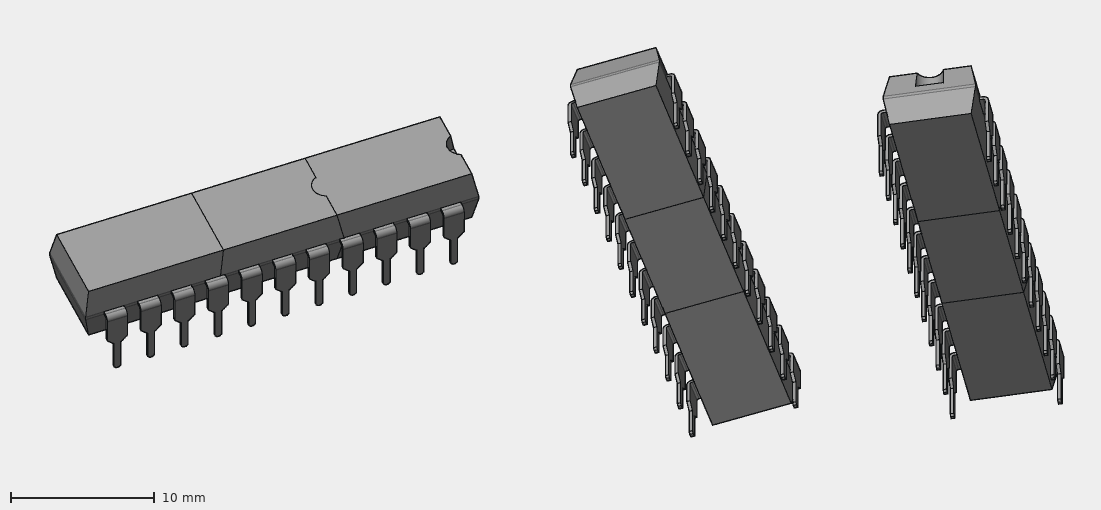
import cadquery as cq
import math

row_length = 29.65
package_width = 6.55
middle_length = 9.3
draft_angle = 10.0
half_height = 2.15
band_height = 0.25

notch_radius = 1.0
notch_depth = 1.48

lead_row_spacing = 7.62
lead_row_length = 25.4
lead_count = 11
middle_lead_count = 3
lead_thickness = band_height
lead_wide = 1.5
lead_narrow = 0.5
bend_inner_radius = 0.15
overall_height = 7.55
tip_chamfer = 0.15

taper_inset = half_height * math.tan(math.radians(draft_angle))
top_z = half_height
bottom_z = -band_height - half_height
tip_z = top_z - overall_height
shoulder_z = bottom_z
neck_z = shoulder_z - (lead_wide - lead_narrow) / 2
lead_pitch = lead_row_length / (lead_count - 1)
lead_outer_x = (lead_row_spacing + lead_thickness) / 2
lead_inner_x = lead_outer_x - lead_thickness
package_side_x = package_width / 2
bend_outer_radius = bend_inner_radius + lead_thickness
end_lead_count = (lead_count - middle_lead_count) // 2


def tapered_half(length, start_z, end_z):
    """Half of a package, shrinking from the parting band to its flat outer face."""
    return (
        cq.Workplane("XY", origin=(0, 0, start_z))
        .rect(package_width, length)
        .workplane(offset=end_z - start_z)
        .rect(package_width - 2 * taper_inset, length - 2 * taper_inset)
        .loft(ruled=True)
    )


def package_block(length):
    """Moulded block centred on Y = 0."""
    band = cq.Workplane("XY").box(package_width, length, band_height, centered=(True, True, False))
    return (
        band.translate((0, 0, -band_height))
        .union(tapered_half(length, 0, top_z))
        .union(tapered_half(length, -band_height, bottom_z))
    )


def notch_cutter(end_y):
    """Round pocket in the top face, centred on the +Y end of a package."""
    return (
        cq.Workplane("XY", origin=(0, end_y, top_z - notch_depth))
        .circle(notch_radius)
        .extrude(notch_depth)
    )


def lead_front_outline():
    """Outline along Y and Z: a wide blade, 45 degree shoulders and a narrow chamfered pin."""
    wide = lead_wide / 2
    narrow = lead_narrow / 2
    tip = narrow - tip_chamfer
    return (
        cq.Workplane("YZ")
        .polyline([
            (-wide, 0), (-wide, shoulder_z), (-narrow, neck_z), (-narrow, tip_z + tip_chamfer),
            (-tip, tip_z), (tip, tip_z),
            (narrow, tip_z + tip_chamfer), (narrow, neck_z), (wide, shoulder_z), (wide, 0),
        ])
        .close()
        .extrude(lead_outer_x)
    )


def lead():
    """Lead on the +X side at Y = 0, leaving the package sideways and bent down."""
    strip = (
        cq.Workplane("XZ")
        .moveTo(package_side_x, 0)
        .lineTo(lead_outer_x - bend_outer_radius, 0)
        .radiusArc((lead_outer_x, -bend_outer_radius), bend_outer_radius)
        .lineTo(lead_outer_x, tip_z)
        .lineTo(lead_inner_x, tip_z)
        .lineTo(lead_inner_x, -bend_outer_radius)
        .radiusArc((lead_inner_x - bend_inner_radius, -lead_thickness), -bend_inner_radius)
        .lineTo(package_side_x, -lead_thickness)
        .close()
        .extrude(lead_wide / 2, both=True)
    )
    return strip.intersect(lead_front_outline())


def add_leads(block, first, count):
    """Join `count` pairs of leads to a block; lead 0 is the one nearest the +Y end."""
    right_lead = lead()
    left_lead = right_lead.mirror("YZ")
    for index in range(first, first + count):
        lead_y = lead_row_length / 2 - index * lead_pitch
        block = block.union(right_lead.translate((0, lead_y, 0)))
        block = block.union(left_lead.translate((0, lead_y, 0)))
    return block


middle_block = package_block(middle_length).cut(notch_cutter(middle_length / 2))

row_without_middle = package_block(row_length).cut(middle_block)


def end_block(side):
    """Part of the row beyond the middle block, on the +Y (side = 1) or -Y (side = -1) end."""
    half_space = cq.Workplane("XY").box(package_width, row_length, 2 * overall_height)
    return row_without_middle.intersect(half_space.translate((0, side * row_length / 2, 0)))


rear_block = end_block(1).cut(notch_cutter(row_length / 2))
front_block = end_block(-1)

rear_package = add_leads(rear_block, 0, end_lead_count)
middle_package = add_leads(middle_block, end_lead_count, middle_lead_count)
front_package = add_leads(front_block, end_lead_count + middle_lead_count, end_lead_count)

result = cq.Compound.makeCompound([rear_package.val(), middle_package.val(), front_package.val()])